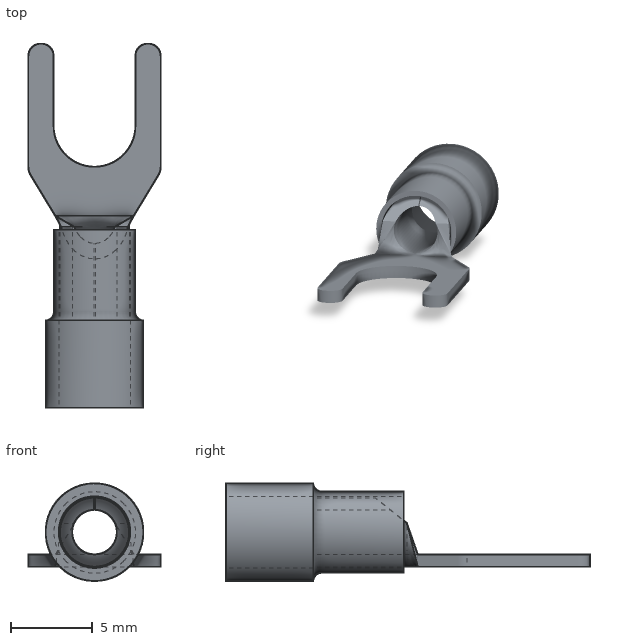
import cadquery as cq
import math

TOTAL_LENGTH = 22.3

SLEEVE_DIAMETER = 6.0
SLEEVE_RADIUS = SLEEVE_DIAMETER / 2
SLEEVE_NECK_RADIUS = 2.5
SLEEVE_BORE_RADIUS = 2.19
SLEEVE_LENGTH = 10.9
SHOULDER_Y = 5.35
SHOULDER_FILLET = SLEEVE_RADIUS - SLEEVE_NECK_RADIUS

SHEET_THICKNESS = 0.75
BARREL_RADIUS = 2.12
BARREL_BORE_RADIUS = BARREL_RADIUS - SHEET_THICKNESS
BARREL_START_Y = SHOULDER_Y
BARREL_END_Y = 11.08
SEAM_WIDTH = 0.07
MOUTH_EDGE_Z = 0.55
MOUTH_SLOPE = 0.8
FORK_START_Y = 11.75
FORK_ROOT_WIDTH = 4.82
FORK_WIDTH = 8.12
FORK_CORNER_Y = 14.47
FORK_CORNER_FILLET = 1.0
SLOT_WIDTH = 5.0
SLOT_BOTTOM_Y = 14.76
TIP_FILLET = 0.75


def cylinder(radius, start_y, end_y):
    """Solid cylinder on the Y axis between two stations."""
    return (
        cq.Workplane("XZ", origin=(0, start_y, 0))
        .circle(radius)
        .extrude(start_y - end_y)
    )


def make_sleeve():
    """Stepped tube with a concave quarter-round between its two diameters."""
    arc_middle_offset = SHOULDER_FILLET * (1 - math.sqrt(0.5))
    profile = (
        cq.Workplane("XY")
        .moveTo(SLEEVE_BORE_RADIUS, 0)
        .lineTo(SLEEVE_RADIUS, 0)
        .lineTo(SLEEVE_RADIUS, SHOULDER_Y)
        .threePointArc(
            (SLEEVE_NECK_RADIUS + arc_middle_offset, SHOULDER_Y + arc_middle_offset),
            (SLEEVE_NECK_RADIUS, SHOULDER_Y + SHOULDER_FILLET),
        )
        .lineTo(SLEEVE_NECK_RADIUS, SLEEVE_LENGTH)
        .lineTo(SLEEVE_BORE_RADIUS, SLEEVE_LENGTH)
        .close()
    )
    return profile.revolve(360, (0, 0, 0), (0, 1, 0))


def make_barrel():
    """Rolled tube with a seam along its top and a sloping cut across its end."""
    tube = cylinder(BARREL_RADIUS, BARREL_START_Y, BARREL_END_Y).cut(
        cylinder(BARREL_BORE_RADIUS, BARREL_START_Y, BARREL_END_Y)
    )
    seam = cq.Workplane("XY").box(
        SEAM_WIDTH, TOTAL_LENGTH, BARREL_RADIUS, centered=(True, False, False)
    )
    mouth_length = (BARREL_RADIUS - MOUTH_EDGE_Z) / MOUTH_SLOPE
    mouth = (
        cq.Workplane("YZ")
        .moveTo(BARREL_END_Y, MOUTH_EDGE_Z)
        .lineTo(BARREL_END_Y, BARREL_RADIUS)
        .lineTo(BARREL_END_Y - mouth_length, BARREL_RADIUS)
        .close()
        .extrude(BARREL_RADIUS, both=True)
    )
    return tube.cut(seam).cut(mouth)


def make_transition():
    """Ruled solid from the open trough of the barrel to the flat fork root."""
    outer_x = math.sqrt(BARREL_RADIUS**2 - MOUTH_EDGE_Z**2)
    inner_x = math.sqrt(BARREL_BORE_RADIUS**2 - MOUTH_EDGE_Z**2)
    half_root = FORK_ROOT_WIDTH / 2
    outer_left, outer_right, inner_right, inner_left = [
        cq.Vector(x, BARREL_END_Y, MOUTH_EDGE_Z) for x in (-outer_x, outer_x, inner_x, -inner_x)
    ]
    outer_bottom = cq.Vector(0, BARREL_END_Y, -BARREL_RADIUS)
    inner_bottom = cq.Vector(0, BARREL_END_Y, -BARREL_BORE_RADIUS)
    trough_edges = [
        cq.Edge.makeThreePointArc(outer_left, outer_bottom, outer_right),
        cq.Edge.makeLine(outer_right, inner_right),
        cq.Edge.makeThreePointArc(inner_right, inner_bottom, inner_left),
        cq.Edge.makeLine(inner_left, outer_left),
    ]
    root_corners = [
        cq.Vector(-half_root, FORK_START_Y, -BARREL_RADIUS),
        cq.Vector(half_root, FORK_START_Y, -BARREL_RADIUS),
        cq.Vector(half_root, FORK_START_Y, -BARREL_BORE_RADIUS),
        cq.Vector(-half_root, FORK_START_Y, -BARREL_BORE_RADIUS),
    ]
    root_edges = [
        cq.Edge.makeLine(start, end)
        for start, end in zip(root_corners, root_corners[1:] + root_corners[:1])
    ]
    faces = [cq.Face.makeRuledSurface(*pair) for pair in zip(trough_edges, root_edges)]
    for edges in (trough_edges, root_edges):
        faces.append(cq.Face.makeFromWires(cq.Wire.assembleEdges(edges)))
    return cq.Workplane(cq.Solid.makeSolid(cq.Shell.makeShell(faces)).fix())


def make_fork():
    """Flat spade tongue with a round-bottomed slot and rounded tips."""
    half_root = FORK_ROOT_WIDTH / 2
    half_width = FORK_WIDTH / 2
    half_slot = SLOT_WIDTH / 2
    slot_center_y = SLOT_BOTTOM_Y + half_slot
    fork = (
        cq.Workplane("XY", origin=(0, 0, -BARREL_RADIUS))
        .moveTo(-half_root, FORK_START_Y)
        .lineTo(half_root, FORK_START_Y)
        .lineTo(half_width, FORK_CORNER_Y)
        .lineTo(half_width, TOTAL_LENGTH)
        .lineTo(half_slot, TOTAL_LENGTH)
        .lineTo(half_slot, slot_center_y)
        .threePointArc((0, SLOT_BOTTOM_Y), (-half_slot, slot_center_y))
        .lineTo(-half_slot, TOTAL_LENGTH)
        .lineTo(-half_width, TOTAL_LENGTH)
        .lineTo(-half_width, FORK_CORNER_Y)
        .close()
        .extrude(SHEET_THICKNESS)
    )
    corners = [(side * half_width, FORK_CORNER_Y, -BARREL_RADIUS) for side in (-1, 1)]
    for corner in corners:
        fork = fork.edges("|Z").edges(cq.NearestToPointSelector(corner)).fillet(FORK_CORNER_FILLET)
    return fork.faces(">Y").edges("|Z").fillet(TIP_FILLET)


def make_terminal():
    """Barrel, transition and fork joined as one piece of sheet metal."""
    return make_barrel().union(make_transition()).union(make_fork())


sleeve = make_sleeve()
terminal = make_terminal()
result = cq.Compound.makeCompound([sleeve.val(), terminal.val()])